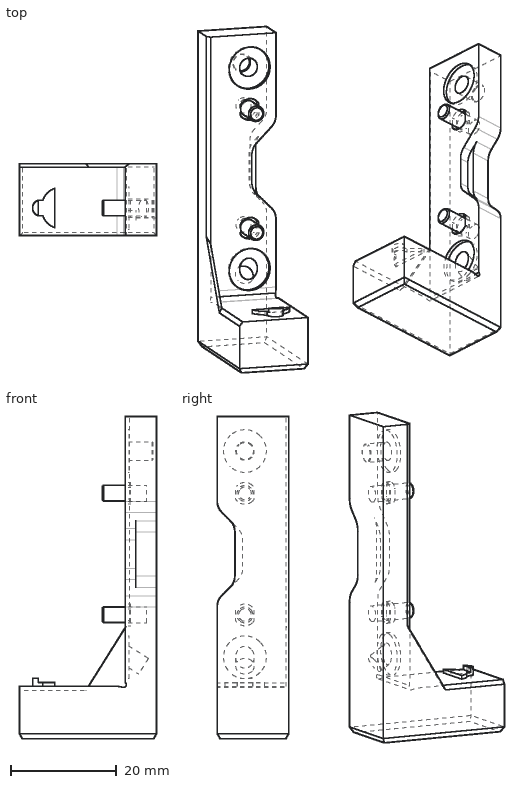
import cadquery as cq
import math

length = 26.0
width = 13.6
height = 61.0
base_top = 10.0
wall_thickness = 6.0
wall_x = length - wall_thickness

foot_chamfer_height = 1.0
foot_chamfer_inset = 0.6

bevel_width = 0.63
bevel_depth = 0.8

gusset_base_x = 13.1
gusset_top_z = 21.0

relief_base_run = 1.6
relief_wall_run = 1.85
relief_radius = 0.5
relief_center_x = wall_x - 0.25
relief_center_z = base_top + 0.25
relief_start_angle = math.radians(50)
relief_end_angle = math.radians(-95)
relief_middle_angle = math.radians(-45)

row_y = 5.23
row_middle_z = 35.0
pin_offset = 11.5
seat_offset = 19.5

seat_diameter = 8.1
seat_depth = 0.75
bore_diameter = 3.5
upper_bore_depth = 4.5
upper_bore_bottom_chamfer = 0.15
lower_bore_tilt = 32.0
lower_bore_depth = 3.2

pin_diameter = 3.0
pin_projection = 4.35
pin_embedded = 4.0
pin_chamfer = 0.3
pocket_diameter = 4.13
pocket_width = bore_diameter
pocket_depth = 1.0

notch_half_mouth = 8.75
notch_front_depth = 4.8
notch_rear_depth = 3.35
notch_front_layer = 2.0
notch_radius = 3.0
selection_margin = 0.1

nose_diameter = 3.0
nose_x = 4.0
nose_step_x = 3.6
nose_height = 1.5
tail_height = 0.7
tail_start = (4.45, 1.42)
tail_middle = (5.35, 2.87)
tail_end = (6.75, 3.73)


def wall_plane(x, z):
    """Plane facing +X at a point of the hole row; local X is +Y and local Y is +Z."""
    return cq.Workplane("YZ", origin=(x, row_y, z))


def make_blank():
    profile = [
        (0, 0),
        (length, 0),
        (length, height),
        (wall_x, height),
        (wall_x, base_top),
        (0, base_top),
    ]
    blank = cq.Workplane("XZ").polyline(profile).close().extrude(-width)
    foot = (
        cq.Workplane("XY")
        .workplane(offset=foot_chamfer_height)
        .rect(length, width)
        .workplane(offset=-foot_chamfer_height)
        .rect(length - 2 * foot_chamfer_inset, width - 2 * foot_chamfer_inset)
        .loft(ruled=True)
        .translate((length / 2, width / 2, 0))
    )
    above_foot = cq.Workplane("XY").box(length, width, height, centered=False)
    above_foot = above_foot.translate((0, 0, foot_chamfer_height))
    return blank.intersect(above_foot.union(foot))


def bevel_side_edges(body):
    base_bevel = (
        cq.Workplane("YZ")
        .polyline([(width, base_top), (width - bevel_width, base_top), (width, base_top - bevel_depth)])
        .close()
        .extrude(wall_x + bevel_depth)
    )
    wall_bevel = (
        cq.Workplane("XY", origin=(0, 0, base_top - bevel_depth))
        .polyline([(wall_x, width), (wall_x, width - bevel_width), (wall_x + bevel_depth, width)])
        .close()
        .extrude(height - base_top + bevel_depth)
    )
    return body.cut(base_bevel).cut(wall_bevel)


def cut_corner_relief(body):
    def rim_point(angle):
        return (
            relief_center_x + relief_radius * math.cos(angle),
            relief_center_z + relief_radius * math.sin(angle),
        )

    relief = (
        cq.Workplane("XZ")
        .moveTo(wall_x, base_top + relief_wall_run)
        .lineTo(*rim_point(relief_start_angle))
        .threePointArc(rim_point(relief_middle_angle), rim_point(relief_end_angle))
        .lineTo(wall_x - relief_base_run, base_top)
        .lineTo(wall_x, base_top)
        .close()
        .extrude(-width)
    )
    return body.cut(relief)


def make_gusset():
    slope = (gusset_top_z - base_top) / (wall_x - gusset_base_x)
    low_z = base_top - bevel_depth
    back_x = wall_x + bevel_depth
    profile = [
        (gusset_base_x - bevel_depth / slope, low_z),
        (back_x, low_z),
        (back_x, gusset_top_z + bevel_depth * slope),
    ]
    gusset = cq.Workplane("XZ").polyline(profile).close().extrude(-bevel_width)
    return gusset.translate((0, width - bevel_width, 0))


def notch_cutter(start_x, layer, depth):
    half_floor = notch_half_mouth - depth
    half_outer = notch_half_mouth + notch_radius
    profile = [
        (-notch_radius, -half_outer),
        (0, -half_outer),
        (0, -notch_half_mouth),
        (depth, -half_floor),
        (depth, half_floor),
        (0, notch_half_mouth),
        (0, half_outer),
        (-notch_radius, half_outer),
    ]
    cutter = cq.Workplane("YZ", origin=(start_x, 0, row_middle_z)).polyline(profile).close().extrude(layer)
    half_picked = notch_half_mouth + selection_margin
    rounded = cq.selectors.BoxSelector(
        (start_x, -selection_margin, row_middle_z - half_picked),
        (start_x + layer, depth + selection_margin, row_middle_z + half_picked),
    )
    return cutter.edges("|X").edges(rounded).fillet(notch_radius)


def cut_notch(body):
    front = notch_cutter(wall_x, notch_front_layer, notch_front_depth)
    rear = notch_cutter(wall_x + notch_front_layer, wall_thickness - notch_front_layer, notch_rear_depth)
    return body.cut(front).cut(rear)


def cut_screw_seats(body):
    upper_z = row_middle_z + seat_offset
    lower_z = row_middle_z - seat_offset
    for z in (upper_z, lower_z):
        body = body.cut(wall_plane(wall_x, z).circle(seat_diameter / 2).extrude(seat_depth))

    floor_x = wall_x + seat_depth
    upper_bore = (
        wall_plane(floor_x, upper_z)
        .circle(bore_diameter / 2)
        .extrude(upper_bore_depth)
        .faces(">X")
        .chamfer(upper_bore_bottom_chamfer)
    )
    lead_in = bore_diameter / 2 * math.tan(math.radians(lower_bore_tilt))
    lower_bore = (
        wall_plane(floor_x, lower_z)
        .workplane(offset=-lead_in)
        .circle(bore_diameter / 2)
        .extrude(lead_in + lower_bore_depth)
        .rotate((floor_x, 0, lower_z), (floor_x, 1, lower_z), lower_bore_tilt)
    )
    behind_floor = cq.Workplane("XY").box(length, width, height, centered=False).translate((floor_x, 0, 0))
    return body.cut(upper_bore).cut(lower_bore.intersect(behind_floor))


def cut_pin_pockets(body, z):
    pocket = wall_plane(wall_x, z).circle(pocket_diameter / 2).extrude(pocket_depth)
    trim = wall_plane(wall_x, z).rect(pocket_width, pocket_diameter).extrude(pocket_depth)
    hole = wall_plane(wall_x, z).circle(pin_diameter / 2).extrude(pin_embedded)
    return body.cut(pocket.intersect(trim)).cut(hole)


def make_locating_boss():
    nose = cq.Workplane("XY").circle(nose_diameter / 2).extrude(nose_height).translate((nose_x, 0, 0))
    above_tail = (
        cq.Workplane("XY")
        .box(nose_diameter, nose_diameter, nose_height, centered=(False, True, False))
        .translate((nose_step_x, 0, tail_height))
    )
    tail = (
        cq.Workplane("XY")
        .moveTo(*tail_start)
        .threePointArc(tail_middle, tail_end)
        .lineTo(tail_end[0], -tail_end[1])
        .threePointArc((tail_middle[0], -tail_middle[1]), (tail_start[0], -tail_start[1]))
        .close()
        .extrude(tail_height)
    )
    boss = nose.cut(above_tail).union(tail)
    return boss.translate((0, row_y, base_top))


def make_bracket():
    body = cut_corner_relief(bevel_side_edges(make_blank()))
    body = body.union(make_gusset())
    body = cut_screw_seats(cut_notch(body))
    for z in pin_heights:
        body = cut_pin_pockets(body, z)
    return body.union(make_locating_boss())


def make_pin(z):
    return (
        wall_plane(wall_x - pin_projection, z)
        .circle(pin_diameter / 2)
        .extrude(pin_projection + pin_embedded)
        .faces("<X")
        .chamfer(pin_chamfer)
    )


pin_heights = [row_middle_z + side * pin_offset for side in (1, -1)]
bracket = make_bracket()
pins = [make_pin(z) for z in pin_heights]
result = cq.Compound.makeCompound([bracket.val(), *[pin.val() for pin in pins]])